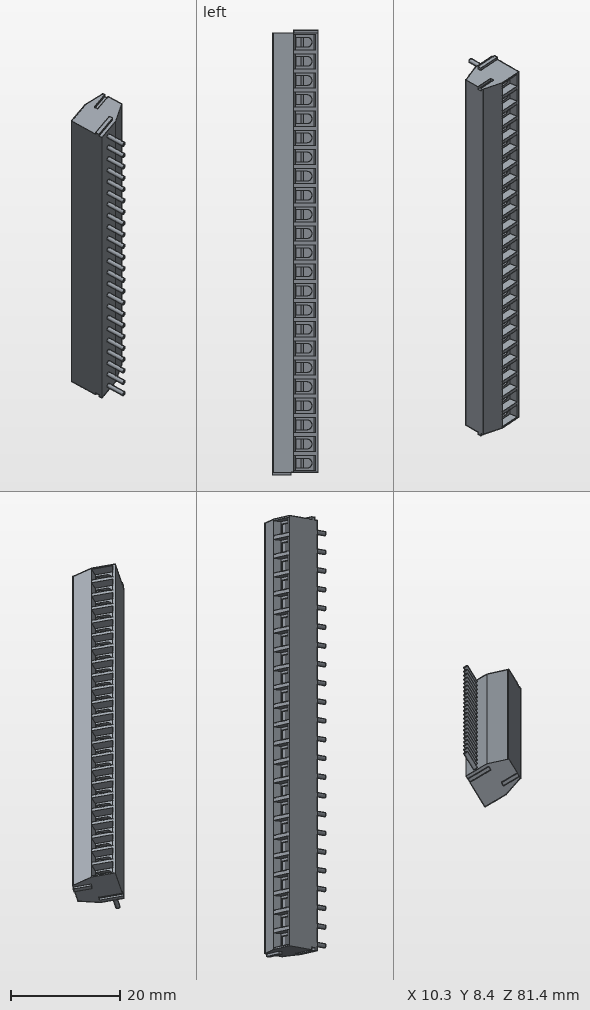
import cadquery as cq

way_count = 23
way_pitch = 3.5
end_margin = 1.7
body_width = 6.8
body_depth = 8.4
body_height = (way_count - 1) * way_pitch + 2 * end_margin

shoulder_y = 4.5
shoulder_inset = 1.2
top_land = 0.25

pin_y = 2.0
pin_diameter = 0.8
pin_length = 3.5

pocket_depth = 1.55
pocket_height = 2.8
pocket_y_min = 0.5
lower_wall_draft = 0.25
upper_wall_draft = 0.3

clamp_half_height = 0.9
clamp_arc_y = 2.0
clamp_slot_y_max = 4.1
clamp_ramp_y_min = 2.7
clamp_ramp_y_max = 3.2
clamp_slot_depth = 0.3
clamp_hole_depth = 0.5

tongue_x = 1.7
tongue_width = 0.7
tongue_y_min = 5.0
tongue_height = 0.5
groove_depth = 0.6
rib_x = 5.4
rib_width = 0.7
rib_height = 0.5
notch_depth = 0.5

way_heights = [end_margin + i * way_pitch for i in range(way_count)]


def corner_box(x_min, y_min, z_min, x_size, y_size, z_size):
    """Box placed by its lowest corner."""
    box = cq.Workplane("XY").box(x_size, y_size, z_size, centered=False)
    return box.translate((x_min, y_min, z_min))


def extrude_about_level(outline, height):
    """Extrude a closed XY outline so that it is centred on Z = 0."""
    return cq.Workplane("XY").polyline(outline).close().extrude(height / 2, both=True)


def make_body():
    land_y = body_depth - top_land
    outline = [
        (0, 0),
        (body_width, 0),
        (body_width, shoulder_y),
        (body_width - shoulder_inset, land_y),
        (body_width - shoulder_inset, body_depth),
        (shoulder_inset, body_depth),
        (shoulder_inset, land_y),
        (0, shoulder_y),
    ]
    return cq.Workplane("XY").polyline(outline).close().extrude(body_height)


def make_pocket():
    """Cutter for one wire entry, narrowing in Y towards its floor."""
    outline = [
        (0, pocket_y_min),
        (pocket_depth, pocket_y_min + lower_wall_draft),
        (pocket_depth, shoulder_y - upper_wall_draft),
        (0, shoulder_y),
    ]
    return extrude_about_level(outline, pocket_height)


def make_clamp_recess():
    """Cutter for the recess in a pocket floor: stepped depth inside a round-ended outline."""
    slot_floor_x = pocket_depth + clamp_slot_depth
    hole_floor_x = pocket_depth + clamp_hole_depth
    tip_y = clamp_arc_y - clamp_half_height
    depth_profile = [
        (pocket_depth, tip_y),
        (hole_floor_x, tip_y),
        (hole_floor_x, clamp_ramp_y_min),
        (slot_floor_x, clamp_ramp_y_max),
        (slot_floor_x, clamp_slot_y_max),
        (pocket_depth, clamp_slot_y_max),
    ]
    stepped = extrude_about_level(depth_profile, 2 * clamp_half_height)
    round_ended = (
        cq.Workplane("YZ")
        .moveTo(clamp_slot_y_max, clamp_half_height)
        .lineTo(clamp_arc_y, clamp_half_height)
        .threePointArc((tip_y, 0), (clamp_arc_y, -clamp_half_height))
        .lineTo(clamp_slot_y_max, -clamp_half_height)
        .close()
        .extrude(hole_floor_x)
    )
    return stepped.intersect(round_ended)


def cut_wire_entries(body):
    entry = make_pocket().union(make_clamp_recess()).val()
    entries = [entry.translate(cq.Vector(0, 0, z)) for z in way_heights]
    return body.cut(cq.Workplane("XY").newObject([cq.Compound.makeCompound(entries)]))


def add_pins(body):
    pins = (
        cq.Workplane("YZ", origin=(body_width, 0, 0))
        .pushPoints([(pin_y, z) for z in way_heights])
        .circle(pin_diameter / 2)
        .extrude(pin_length)
    )
    return body.union(pins)


def add_end_interlocks(body):
    tongue_length = body_depth - tongue_y_min
    groove_z = body_height - groove_depth
    groove = corner_box(tongue_x, tongue_y_min, groove_z, tongue_width, tongue_length, groove_depth)
    notch = corner_box(rib_x, 0, 0, rib_width, shoulder_y, notch_depth)
    tongue = corner_box(tongue_x, tongue_y_min, -tongue_height, tongue_width, tongue_length, tongue_height)
    rib = corner_box(rib_x, 0, body_height, rib_width, shoulder_y, rib_height)
    return body.cut(groove).cut(notch).union(tongue).union(rib)


result = add_end_interlocks(add_pins(cut_wire_entries(make_body())))